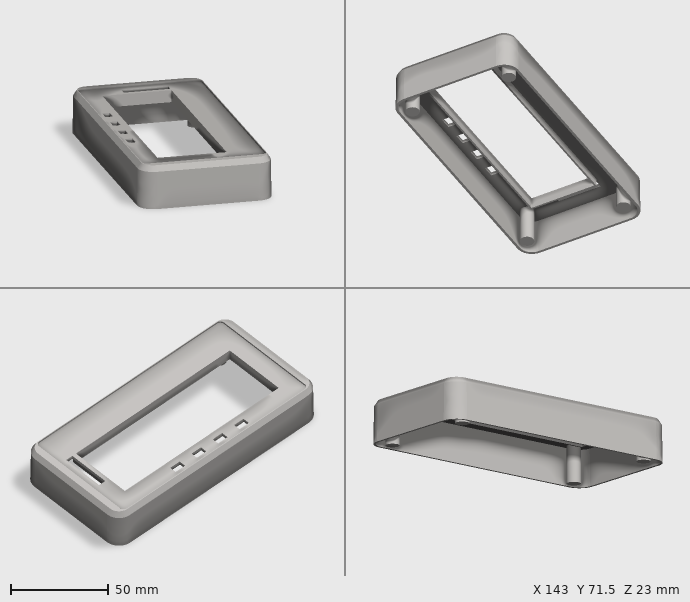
import cadquery as cq
import math

length = 143.0
width = 71.5
height = 23.0
corner_radius = 8.6
draft_angle = 1.0

bevel_height = 3.0
bevel_angle = 33.0

wall = 1.5
plate_thickness = 2.0

recess_length = 130.4
recess_width = 66.0
recess_radius = 2.6
recess_depth = 1.0

window_length = 108.5
window_width = 36.9
window_center_y = -4.0
window_radius = 0.3
frame_wall = 1.0
frame_depth = 6.5

slot_length = 24.7
slot_width = 4.3
slot_center_x = -58.9

button_count = 4
button_pitch = 15.0
button_length = 6.6
button_width = 4.0
button_center_y = -28.3

post_diameter = 7.5
post_x = 60.2
post_y = 28.5

body_height = height - bevel_height
body_inset = body_height * math.tan(math.radians(draft_angle))
recess_floor = height - recess_depth
cavity_height = recess_floor - plate_thickness
window_back_y = window_center_y + window_width / 2


def rounded_block(size_x, size_y, radius, bottom, top, taper=0, center_y=0):
    """Rounded rectangular block between two heights, narrowing upward by the taper angle."""
    outline = cq.Sketch().rect(size_x, size_y).vertices().fillet(radius)
    plane = cq.Workplane("XY", origin=(0, center_y, bottom))
    return plane.placeSketch(outline).extrude(top - bottom, taper=taper)


def make_shell():
    """Drafted open-bottomed box with a sloped rim."""
    body = rounded_block(length, width, corner_radius, 0, body_height, draft_angle)
    rim = rounded_block(
        length - 2 * body_inset,
        width - 2 * body_inset,
        corner_radius - body_inset,
        body_height,
        height,
        bevel_angle,
    )
    cavity = rounded_block(
        length - 2 * wall,
        width - 2 * wall,
        corner_radius - wall,
        0,
        cavity_height,
        draft_angle,
    )
    recess = rounded_block(recess_length, recess_width, recess_radius, recess_floor, height)
    return body.union(rim).cut(cavity).cut(recess)


def make_window_frame():
    """Solid block under the window; the window opening turns it into a frame."""
    return (
        cq.Workplane("XY", origin=(0, window_center_y, recess_floor - frame_depth))
        .rect(window_length + 2 * frame_wall, window_width + 2 * frame_wall)
        .extrude(frame_depth)
    )


def make_posts():
    """Four posts from the underside of the top plate down to the bottom rim."""
    return (
        cq.Workplane("XY")
        .rect(2 * post_x, 2 * post_y, forConstruction=True)
        .vertices()
        .circle(post_diameter / 2)
        .extrude(recess_floor)
    )


def make_openings():
    """Window, side slot and button openings as one cutting body."""
    window = rounded_block(
        window_length, window_width, window_radius, 0, height, center_y=window_center_y
    )
    slot = (
        cq.Workplane("XY")
        .center(slot_center_x, window_back_y - slot_length / 2)
        .rect(slot_width, slot_length)
        .extrude(height)
    )
    buttons = (
        cq.Workplane("XY", origin=(0, button_center_y, cavity_height))
        .rarray(button_pitch, 1.5, button_count, 1)
        .rect(button_length, button_width)
        .extrude(height - cavity_height)
    )
    return window.union(slot).union(buttons)


result = make_shell().union(make_window_frame()).union(make_posts()).cut(make_openings())